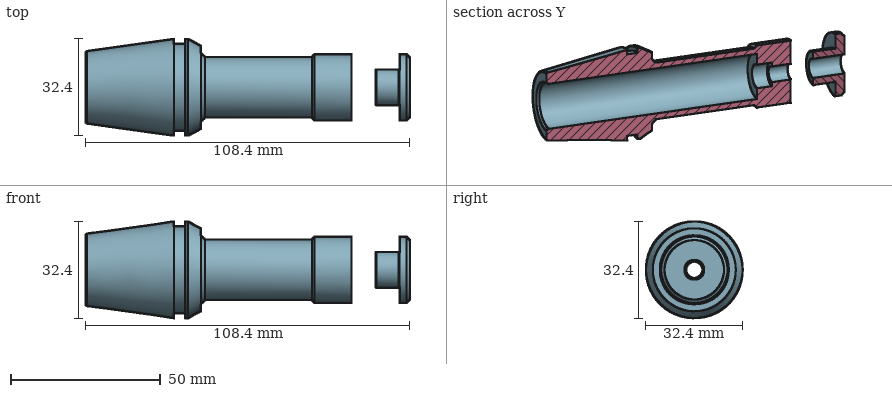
import cadquery as cq

total_length = 108.4

nose_chamfer = 0.4
nose_front_radius = 12.1
nose_length = 29.5
collar_radius = 32.4 / 2
groove_radius = 29.2 / 2
groove_width = 3.7
collar_edge_chamfer = 0.2
collar_land = 1.1
collar_back_x = 38.5
collar_back_radius = 13.9
shank_radius = 20.3 / 2
shank_flare = 1.4
tail_radius = 22.2 / 2
tail_front_x = 76.5
tail_back_x = 88.9

bore_radius = 15.8 / 2
bore_mouth_widening = 0.5
bore_mouth_depth = 0.9
bore_depth = tail_front_x
recess_radius = 8.2 / 2
recess_depth = 5.4
through_hole_radius = 5.4 / 2

spigot_front_x = 96.8
spigot_radius = 12.0 / 2
spigot_chamfer = 0.3
relief_radius = 11.7 / 2
relief_width = 0.3
head_radius = tail_radius
head_thickness = 3.5
head_chamfer = 1.2
plug_hole_radius = 6.6 / 2


def revolve_about_x(profile):
    """Turn a closed (x, radius) profile about the X axis."""
    return cq.Workplane("XY").polyline(profile).close().revolve(360, (0, 0, 0), (1, 0, 0))


def make_holder():
    collar_front_x = nose_length + groove_width
    collar_land_end_x = collar_front_x + collar_land
    tail_chamfer = tail_radius - shank_radius
    profile = [
        (tail_back_x, through_hole_radius),
        (bore_depth + recess_depth, through_hole_radius),
        (bore_depth + recess_depth, recess_radius),
        (bore_depth, recess_radius),
        (bore_depth, bore_radius),
        (bore_mouth_depth, bore_radius),
        (0, bore_radius + bore_mouth_widening),
        (0, nose_front_radius - nose_chamfer),
        (nose_chamfer, nose_front_radius),
        (nose_length, collar_radius),
        (nose_length, groove_radius),
        (collar_front_x, groove_radius),
        (collar_front_x, collar_radius - collar_edge_chamfer),
        (collar_front_x + collar_edge_chamfer, collar_radius),
        (collar_land_end_x, collar_radius),
        (collar_back_x, collar_back_radius),
        (collar_back_x, shank_radius + shank_flare),
        (collar_back_x + shank_flare, shank_radius),
        (tail_front_x - tail_chamfer, shank_radius),
        (tail_front_x, tail_radius),
        (tail_back_x, tail_radius),
    ]
    return revolve_about_x(profile)


def make_plug():
    head_front_x = total_length - head_thickness
    relief_front_x = head_front_x - relief_width
    profile = [
        (spigot_front_x, plug_hole_radius),
        (spigot_front_x, spigot_radius - spigot_chamfer),
        (spigot_front_x + spigot_chamfer, spigot_radius),
        (relief_front_x, spigot_radius),
        (relief_front_x, relief_radius),
        (head_front_x, relief_radius),
        (head_front_x, head_radius),
        (total_length - head_chamfer, head_radius),
        (total_length, head_radius - head_chamfer),
        (total_length, plug_hole_radius),
    ]
    return revolve_about_x(profile)


holder = make_holder()
plug = make_plug()

result = cq.Compound.makeCompound([holder.val(), plug.val()])